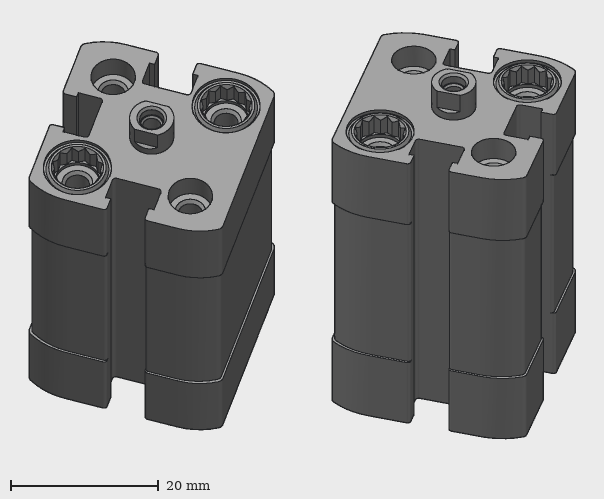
import cadquery as cq
import math

overall_height = 49.2
rod_projection = 4.2
housing_height = overall_height - rod_projection
cap_half_width = 13.75
barrel_inset = 0.3
bottom_cap_height = 10.5
top_cap_height = 10.6
barrel_top = housing_height - top_cap_height

corner_arc_radius = 10.0
corner_arc_start = 5.7
corner_blend_radius = 0.9

slot_offset = 0.6
slot_mouth_width = 5.4
slot_mouth_radius = 0.45
slot_pocket_width = 6.9
slot_pocket_start = 11.7
slot_floor = 8.15
slot_floor_radius = 0.5

hole_position = 8.0
hole_diameter = 3.25
hole_chamfer_diameter = 4.15
counterbore_diameter = 6.0
counterbore_depth = 3.5

socket_depth = 2.95
socket_across_flats = counterbore_diameter
socket_chamfer_diameter = 7.1
socket_chamfer_depth = 0.75
groove_outer_diameter = 9.2
groove_inner_diameter = 8.5
rim_diameter = 7.75
groove_depth = 0.5

rod_diameter = 6.0
rod_bottom = barrel_top
flats_width = 5.0
flats_length = 2.8
flats_end_slope = 25.0
rod_hole_diameter = 2.45
rod_hole_depth = 5.9
rod_recess_diameter = 3.3
rod_recess_depth = 1.5
rod_chamfer_diameter = 4.0
rod_thread_diameter = 3.0
drill_tip_angle = 118.0


def cone_frustum(base_z, base_diameter, top_z, top_diameter):
    """Upright cone frustum on the Z axis; a zero diameter makes a point."""
    start = cq.Vector(0, 0, base_z)
    return cq.Workplane(cq.Solid.makeCone(base_diameter / 2, top_diameter / 2, top_z - base_z, start))


def cylinder(base_z, top_z, diameter):
    return cq.Workplane("XY").workplane(offset=base_z).circle(diameter / 2).extrude(top_z - base_z)


def outline_block(half_width, height):
    """Square block whose four corners are large arcs blended into the X sides."""
    arc_x = half_width - corner_arc_start
    arc_y = half_width - corner_arc_radius
    end_angle = math.acos(corner_arc_start / corner_arc_radius)
    mid_angle = (end_angle + math.pi / 2) / 2

    def arc_point(angle, x_sign, y_sign):
        x = arc_x + corner_arc_radius * math.cos(angle)
        y = arc_y + corner_arc_radius * math.sin(angle)
        return (x_sign * x, y_sign * y)

    block = (
        cq.Workplane("XY")
        .moveTo(*arc_point(math.pi / 2, -1, 1))
        .lineTo(*arc_point(math.pi / 2, 1, 1))
        .threePointArc(arc_point(mid_angle, 1, 1), arc_point(end_angle, 1, 1))
        .lineTo(*arc_point(end_angle, 1, -1))
        .threePointArc(arc_point(mid_angle, 1, -1), arc_point(math.pi / 2, 1, -1))
        .lineTo(*arc_point(math.pi / 2, -1, -1))
        .threePointArc(arc_point(mid_angle, -1, -1), arc_point(end_angle, -1, -1))
        .lineTo(*arc_point(end_angle, -1, 1))
        .threePointArc(arc_point(mid_angle, -1, 1), arc_point(math.pi / 2, -1, 1))
        .close()
        .extrude(height)
    )
    return block.edges("|Z and (<X or >X)").fillet(corner_blend_radius)


def side_slot(half_width, height, offset):
    """Slot in the -Y side: a mouth with rounded lips opening into a wider pocket."""
    half_mouth = slot_mouth_width / 2
    flare = slot_mouth_radius
    bulge = flare * (1 - math.sqrt(0.5))
    mouth = (
        cq.Workplane("XY")
        .moveTo(-half_mouth - flare, -half_width)
        .threePointArc((-half_mouth - bulge, -half_width + bulge), (-half_mouth, -half_width + flare))
        .lineTo(-half_mouth, -slot_floor)
        .lineTo(half_mouth, -slot_floor)
        .lineTo(half_mouth, -half_width + flare)
        .threePointArc((half_mouth + bulge, -half_width + bulge), (half_mouth + flare, -half_width))
        .close()
        .extrude(height)
    )
    pocket_length = slot_pocket_start - slot_floor
    pocket = (
        cq.Workplane("XY")
        .center(0, -slot_floor - pocket_length / 2)
        .rect(slot_pocket_width, pocket_length)
        .extrude(height)
        .edges("|Z and >Y")
        .fillet(slot_floor_radius)
    )
    return mouth.union(pocket).translate((offset, 0, 0))


def housing_section(half_width, base_z, top_z):
    """One length of the housing with its three side slots."""
    height = top_z - base_z
    section = outline_block(half_width, height)
    for angle, offset in ((0, slot_offset), (180, slot_offset), (-90, -slot_offset)):
        slot = side_slot(half_width, height, offset)
        section = section.cut(slot.rotate((0, 0, 0), (0, 0, 1), angle))
    return section.translate((0, 0, base_z))


def stepped_hole(bore_top):
    """Through hole with a chamfered mouth at the floor of its counterbore."""
    floor_z = housing_height - counterbore_depth
    chamfer_depth = (hole_chamfer_diameter - hole_diameter) / 2
    hole = cylinder(0, floor_z, hole_diameter)
    hole = hole.union(cone_frustum(floor_z - chamfer_depth, hole_diameter, floor_z, hole_chamfer_diameter))
    return hole.union(cylinder(floor_z, bore_top, counterbore_diameter))


def socket_hole():
    """Stepped hole whose upper part is a twelve-point socket inside a grooved rim."""
    socket_bottom = housing_height - socket_depth
    across_corners = socket_across_flats / math.cos(math.pi / 6)
    hole = stepped_hole(socket_bottom)
    for angle in (0, 30):
        hexagon = (
            cq.Workplane("XY")
            .workplane(offset=socket_bottom)
            .polygon(6, across_corners)
            .extrude(socket_depth)
            .rotate((0, 0, 0), (0, 0, 1), angle)
        )
        hole = hole.union(hexagon)
    chamfer_z = housing_height - socket_chamfer_depth
    hole = hole.union(cone_frustum(chamfer_z, socket_across_flats, housing_height, socket_chamfer_diameter))
    groove_floor = housing_height - groove_depth
    rim = cone_frustum(groove_floor, groove_inner_diameter, housing_height, rim_diameter)
    groove = cylinder(groove_floor, housing_height, groove_outer_diameter).cut(rim)
    return hole.union(groove)


def make_housing():
    housing = housing_section(cap_half_width, 0, bottom_cap_height)
    housing = housing.union(housing_section(cap_half_width - barrel_inset, bottom_cap_height, barrel_top))
    housing = housing.union(housing_section(cap_half_width, barrel_top, housing_height))
    for side in (-1, 1):
        place = side * hole_position
        housing = housing.cut(stepped_hole(housing_height).translate((place, -place, 0)))
        housing = housing.cut(socket_hole().translate((place, place, 0)))
    return housing.cut(cylinder(rod_bottom, housing_height, rod_diameter))


def make_rod():
    rod = cylinder(rod_bottom, overall_height, rod_diameter)

    radius = rod_diameter / 2
    flat_end = overall_height - flats_length
    slope_drop = (radius - flats_width / 2) * math.tan(math.radians(flats_end_slope))
    for side in (-1, 1):
        flat = (
            cq.Workplane("YZ")
            .moveTo(side * flats_width / 2, overall_height)
            .lineTo(side * flats_width / 2, flat_end)
            .lineTo(side * radius, flat_end - slope_drop)
            .lineTo(side * radius, overall_height)
            .close()
            .extrude(radius, both=True)
        )
        rod = rod.cut(flat)

    hole_floor = overall_height - rod_hole_depth
    tip_depth = rod_hole_diameter / 2 / math.tan(math.radians(drill_tip_angle / 2))
    chamfer_depth = (rod_chamfer_diameter - rod_recess_diameter) / 2
    rod = rod.cut(cylinder(hole_floor, overall_height, rod_hole_diameter))
    rod = rod.cut(cone_frustum(hole_floor - tip_depth, 0, hole_floor, rod_hole_diameter))
    recess_floor = overall_height - rod_recess_depth
    thread_chamfer_depth = (rod_thread_diameter - rod_hole_diameter) / 2
    rod = rod.cut(
        cone_frustum(recess_floor - thread_chamfer_depth, rod_hole_diameter, recess_floor, rod_thread_diameter)
    )
    rod = rod.cut(cylinder(recess_floor, overall_height, rod_recess_diameter))
    return rod.cut(
        cone_frustum(overall_height - chamfer_depth, rod_recess_diameter, overall_height, rod_chamfer_diameter)
    )


housing = make_housing()
rod = make_rod()
result = cq.Compound.makeCompound([housing.val(), rod.val()])